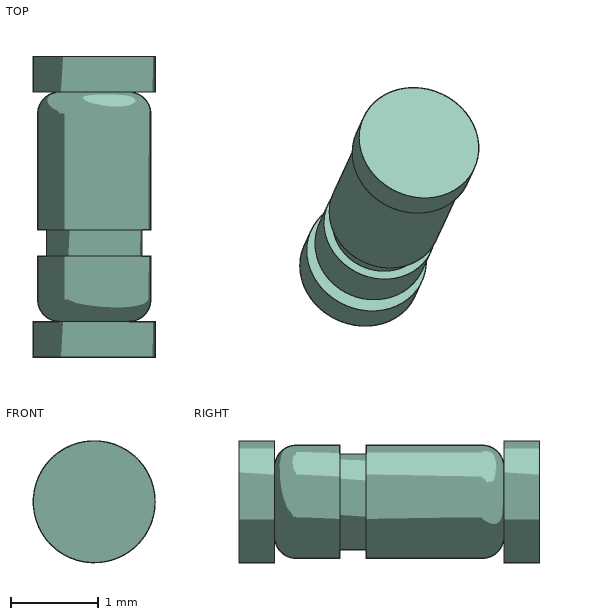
import cadquery as cq

total_length = 3.45
cap_diameter = 1.4
cap_length = 0.41
body_diameter = 1.3
body_fillet = 0.25
groove_diameter = 1.1
groove_width = 0.3
front_land_length = 0.75

front_y = -total_length / 2
body_length = total_length - 2 * cap_length
body_start_y = front_y + cap_length
body_end_y = body_start_y + body_length
groove_start_y = body_start_y + front_land_length


def cylinder_along_y(diameter, start_y, length):
    """Solid cylinder on the Y axis, running from start_y toward +Y."""
    plane = cq.Plane(origin=(0, start_y, 0), xDir=(1, 0, 0), normal=(0, 1, 0))
    return cq.Workplane(plane).circle(diameter / 2).extrude(length)


def make_body():
    """Body with rounded ends and a ring groove near the front."""
    body = cylinder_along_y(body_diameter, body_start_y, body_length)
    body = body.faces("<Y or >Y").edges().fillet(body_fillet)
    groove = cylinder_along_y(body_diameter, groove_start_y, groove_width).cut(
        cylinder_along_y(groove_diameter, groove_start_y, groove_width)
    )
    return body.cut(groove)


def make_cap(start_y):
    """Plain disc terminal, wider than the body."""
    return cylinder_along_y(cap_diameter, start_y, cap_length)


result = make_body().union(make_cap(front_y)).union(make_cap(body_end_y))